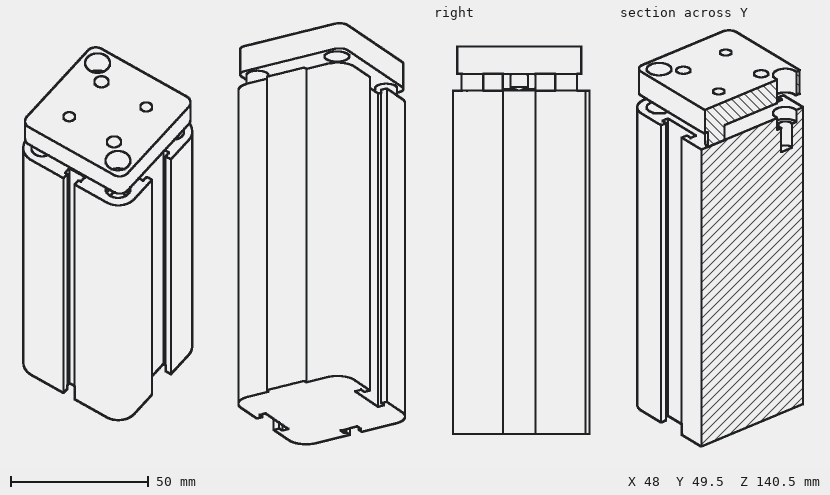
import cadquery as cq

HOUSING_SIDE = 48.0
HOUSING_HEIGHT = 124.5
HOUSING_CORNER_RADIUS = 7.2

STRIP_WIDTH = 16.0
STRIP_HEIGHT = 1.5
STRIP_EDGE_RADIUS = 0.5

SLOT_DEPTH = 5.0
SLOT_LIP = 2.4
SIDE_SLOT_MOUTH = 11.7
SIDE_SLOT_UNDERCUT = 2.2
FRONT_SLOT_MOUTH = 5.0
FRONT_SLOT_UNDERCUT = 1.0

SCREW_OFFSET = 16.25
SCREW_POINTS = [(-SCREW_OFFSET, SCREW_OFFSET), (SCREW_OFFSET, -SCREW_OFFSET)]
SCREW_HOLE_DIAMETER = 5.2
COUNTERBORE_DIAMETER = 9.0
COUNTERBORE_DEPTH = 5.0
SCREW_HOLE_DEPTH = 15.0

PLATE_GAP = 6.0
PLATE_SIDE = 45.0
PLATE_THICKNESS = 10.0
PLATE_CORNER_RADIUS = 3.5
PLATE_BOTTOM = HOUSING_HEIGHT + PLATE_GAP

ACCESS_HOLE_DIAMETER = COUNTERBORE_DIAMETER

PLATE_HOLE_OFFSET = 10.0
LARGE_PLATE_HOLE_DIAMETER = 5.2
SMALL_PLATE_HOLE_DIAMETER = 4.3

GUIDE_OFFSET = 17.0
GUIDE_DIAMETER = 8.0

ROD_DIAMETER = 12.0
ROD_NECK_DIAMETER = 11.7
ROD_CHAMFER_HEIGHT = 0.5
ROD_FLAT_DISTANCE = 10.2
FLAT_RUNOUT_HEIGHT = 1.2


def slot_cutter(mouth, undercut):
    """T-slot cutter that opens through the -Y face over the full height."""
    face = -HOUSING_SIDE / 2
    mouth_half = mouth / 2
    inner_half = mouth_half + undercut
    return (
        cq.Workplane("XY")
        .polyline([
            (-mouth_half, face),
            (-mouth_half, face + SLOT_LIP),
            (-inner_half, face + SLOT_LIP),
            (-inner_half, face + SLOT_DEPTH),
            (inner_half, face + SLOT_DEPTH),
            (inner_half, face + SLOT_LIP),
            (mouth_half, face + SLOT_LIP),
            (mouth_half, face),
        ])
        .close()
        .extrude(HOUSING_HEIGHT)
    )


def make_strip():
    """Raised strip with rounded outer edges, running along the +Y face."""
    return (
        cq.Workplane("XY")
        .center(0, HOUSING_SIDE / 2)
        .rect(STRIP_WIDTH, 2 * STRIP_HEIGHT)
        .extrude(HOUSING_HEIGHT)
        .edges("|Z and >Y")
        .fillet(STRIP_EDGE_RADIUS)
    )


def make_housing():
    body = (
        cq.Workplane("XY")
        .rect(HOUSING_SIDE, HOUSING_SIDE)
        .extrude(HOUSING_HEIGHT)
        .edges("|Z")
        .fillet(HOUSING_CORNER_RADIUS)
        .union(make_strip())
    )
    body = body.cut(slot_cutter(FRONT_SLOT_MOUTH, FRONT_SLOT_UNDERCUT))
    side_slot = slot_cutter(SIDE_SLOT_MOUTH, SIDE_SLOT_UNDERCUT)
    for turn in (-90, 90):
        body = body.cut(side_slot.rotate((0, 0, 0), (0, 0, 1), turn))
    return (
        body.faces(">Z")
        .workplane(origin=(0, 0, HOUSING_HEIGHT))
        .pushPoints(SCREW_POINTS)
        .cboreHole(SCREW_HOLE_DIAMETER, COUNTERBORE_DIAMETER, COUNTERBORE_DEPTH, SCREW_HOLE_DEPTH)
    )


def make_plate():
    offset = PLATE_HOLE_OFFSET
    return (
        cq.Workplane("XY", origin=(0, 0, PLATE_BOTTOM))
        .rect(PLATE_SIDE, PLATE_SIDE)
        .extrude(PLATE_THICKNESS)
        .edges("|Z")
        .fillet(PLATE_CORNER_RADIUS)
        .faces(">Z")
        .workplane(origin=(0, 0, PLATE_BOTTOM))
        .pushPoints(SCREW_POINTS)
        .hole(ACCESS_HOLE_DIAMETER)
        .pushPoints([(-offset, offset), (offset, -offset)])
        .hole(LARGE_PLATE_HOLE_DIAMETER)
        .pushPoints([(-offset, -offset), (offset, offset)])
        .hole(SMALL_PLATE_HOLE_DIAMETER)
    )


def make_rod_blank():
    """Round rod, chamfered at the tip and grooved at the base to the neck diameter."""
    radius = ROD_DIAMETER / 2
    neck_radius = ROD_NECK_DIAMETER / 2
    return (
        cq.Workplane("XZ", origin=(0, 0, HOUSING_HEIGHT))
        .polyline([
            (0, 0),
            (radius, 0),
            (neck_radius, ROD_CHAMFER_HEIGHT),
            (radius, 2 * ROD_CHAMFER_HEIGHT),
            (radius, PLATE_GAP - ROD_CHAMFER_HEIGHT),
            (neck_radius, PLATE_GAP),
            (0, PLATE_GAP),
        ])
        .close()
        .revolve(360, (0, 0, 0), (0, 1, 0))
    )


def make_piston_rod():
    """Rod between housing and plate; sloped run-outs end the flats at the base."""
    radius = ROD_DIAMETER / 2
    flat_half = ROD_FLAT_DISTANCE / 2
    flats_envelope = (
        cq.Workplane("XZ", origin=(0, 0, HOUSING_HEIGHT))
        .polyline([
            (-radius, 0),
            (radius, 0),
            (flat_half, FLAT_RUNOUT_HEIGHT),
            (flat_half, PLATE_GAP),
            (-flat_half, PLATE_GAP),
            (-flat_half, FLAT_RUNOUT_HEIGHT),
        ])
        .close()
        .extrude(radius, both=True)
    )
    return make_rod_blank().intersect(flats_envelope)


def make_guide_rods():
    return (
        cq.Workplane("XY", origin=(0, 0, HOUSING_HEIGHT))
        .pushPoints([(-GUIDE_OFFSET, -GUIDE_OFFSET), (GUIDE_OFFSET, GUIDE_OFFSET)])
        .circle(GUIDE_DIAMETER / 2)
        .extrude(PLATE_GAP)
    )


def make_yoke():
    return make_plate().union(make_piston_rod()).union(make_guide_rods())


housing = make_housing()
yoke = make_yoke()

result = cq.Compound.makeCompound([housing.val(), yoke.val()])